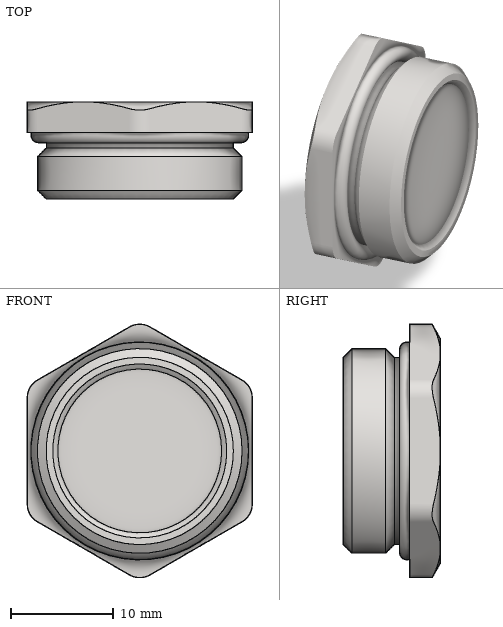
import cadquery as cq
import math


HEAD_SIDES = 6
ACROSS_FLATS = 22.0
HEAD_THICKNESS = 3.0
HEAD_CORNER_RADIUS = 2.0
HEAD_CHAMFER_ANGLE = 30.0

TOTAL_LENGTH = 9.5
BODY_RADIUS = 20.0 / 2
NECK_RADIUS = 18.3 / 2
NECK_END = 4.5
BODY_CHAMFER = BODY_RADIUS - NECK_RADIUS

RING_SECTION_RADIUS = 0.75
RING_EXPOSED_HEIGHT = 1.0

RECESS_MOUTH_RADIUS = 8.5
RECESS_FLOOR_RADIUS = 8.0
RECESS_DEPTH = 0.5


def revolve_about_axis(profile):
    """Close a profile drawn on the axial sketch and turn it about the plug axis."""
    return profile.close().revolve(360, (0, 0, 0), (0, 1, 0))


def axial_sketch():
    """Sketch plane through the axis, with +x as radius and +y towards the end of the plug."""
    return cq.Workplane(cq.Plane(origin=(0, 0, 0), xDir=(1, 0, 0), normal=(0, 0, -1)))


def make_head():
    """Hexagon with rounded corners, flats facing +X and -X, and a conical chamfer at the back."""
    across_corners = ACROSS_FLATS / math.cos(math.pi / HEAD_SIDES)
    hexagon = (
        cq.Workplane("XZ")
        .transformed(rotate=(0, 0, 180 / HEAD_SIDES))
        .polygon(HEAD_SIDES, across_corners)
        .extrude(HEAD_THICKNESS)
        .edges("|Y")
        .fillet(HEAD_CORNER_RADIUS)
    )
    cone_start_radius = ACROSS_FLATS / 2
    cone_end_radius = cone_start_radius + HEAD_THICKNESS / math.tan(math.radians(HEAD_CHAMFER_ANGLE))
    cone = revolve_about_axis(
        axial_sketch()
        .lineTo(cone_start_radius, 0)
        .lineTo(cone_end_radius, HEAD_THICKNESS)
        .lineTo(0, HEAD_THICKNESS)
    )
    return hexagon.intersect(cone)


def make_plug():
    """Turned part below the head: sealing ring, neck, chamfered body and end recess."""
    ring_end = HEAD_THICKNESS + RING_EXPOSED_HEIGHT
    ring_centre = ring_end - RING_SECTION_RADIUS
    ring_centre_radius = NECK_RADIUS + RING_SECTION_RADIUS
    ring_back = ring_centre - RING_SECTION_RADIUS
    ring_seat = (NECK_RADIUS, ring_centre)
    diagonal_offset = RING_SECTION_RADIUS / math.sqrt(2)
    ring_outside = (ring_centre_radius + diagonal_offset, ring_centre + diagonal_offset)
    return revolve_about_axis(
        axial_sketch()
        .moveTo(0, ring_back)
        .lineTo(ring_centre_radius, ring_back)
        .threePointArc(ring_outside, ring_seat)
        .lineTo(NECK_RADIUS, NECK_END)
        .lineTo(BODY_RADIUS, NECK_END + BODY_CHAMFER)
        .lineTo(BODY_RADIUS, TOTAL_LENGTH - BODY_CHAMFER)
        .lineTo(BODY_RADIUS - BODY_CHAMFER, TOTAL_LENGTH)
        .lineTo(RECESS_MOUTH_RADIUS, TOTAL_LENGTH)
        .lineTo(RECESS_FLOOR_RADIUS, TOTAL_LENGTH - RECESS_DEPTH)
        .lineTo(0, TOTAL_LENGTH - RECESS_DEPTH)
    )


result = make_head().union(make_plug())